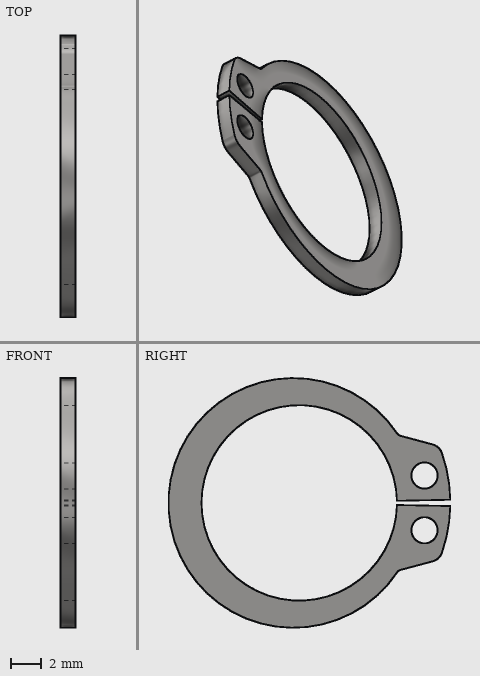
import cadquery as cq
import math

thickness = 1.0
length_y = 18.47
bore_radius = 6.39
rim_radius = 8.18
rim_offset = 0.39

lug_radius = length_y - rim_radius - rim_offset
lug_flank_angle = 15.0
lug_flank_y = 7.74
lug_flank_z = 4.1
lug_corner_radius = 0.92
lug_root_radius = 0.37

gap_half_angle = 1.15
hole_diameter = 1.7
hole_y = 8.2
hole_z = 1.8


def disc(radius, center_y=0.0):
    """Full-thickness disc centred on the Y axis."""
    return cq.Workplane("YZ").center(center_y, 0).circle(radius).extrude(thickness / 2, both=True)


def prism(points):
    """Full-thickness prism from (y, z) points."""
    return cq.Workplane("YZ").polyline(points).close().extrude(thickness / 2, both=True)


def flank_z(y):
    """Height of the upper lug flank at a given y."""
    return lug_flank_z - (y - lug_flank_y) * math.tan(math.radians(lug_flank_angle))


def lugs():
    """Both lugs as one tapered block with a round end and rounded corners."""
    start_y = bore_radius / 2
    end_y = length_y
    taper = prism([
        (start_y, -flank_z(start_y)),
        (end_y, -flank_z(end_y)),
        (end_y, flank_z(end_y)),
        (start_y, flank_z(start_y)),
    ])
    block = taper.intersect(disc(lug_radius))
    return block.edges("|X").edges(cq.selectors.BoxSelector(
        (-thickness, bore_radius, -rim_radius),
        (thickness, length_y, rim_radius),
    )).fillet(lug_corner_radius)


def blend_roots(body):
    """Round the two inner corners where the lug flanks meet the rim."""
    root_zone = cq.selectors.BoxSelector(
        (-thickness, bore_radius - lug_corner_radius, -rim_radius),
        (thickness, lug_flank_y - lug_root_radius, rim_radius),
    )
    return body.edges("|X").edges(root_zone).fillet(lug_root_radius)


def gap():
    """Wedge that opens the ring between the lugs."""
    half_width = length_y * math.tan(math.radians(gap_half_angle))
    return prism([(0, 0), (length_y, -half_width), (length_y, half_width)])


def plier_holes():
    """One through hole in each lug."""
    return (
        cq.Workplane("YZ")
        .pushPoints([(hole_y, hole_z), (hole_y, -hole_z)])
        .circle(hole_diameter / 2)
        .extrude(thickness / 2, both=True)
    )


blank = blend_roots(disc(rim_radius, -rim_offset).union(lugs()))
result = blank.cut(disc(bore_radius)).cut(gap()).cut(plier_holes())